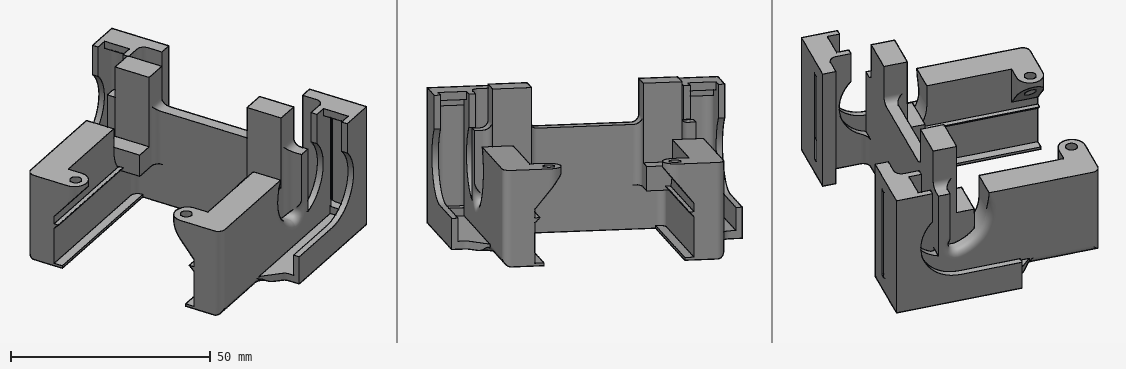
import cadquery as cq
import math


LENGTH_X = 74.2
DEPTH_Y = 57.0
BLEND = 2.0

BAY_OUT = LENGTH_X / 2
BAY_SKIN = 1.6
BAY_HEIGHT = 34.65
BAY_FLOOR = 2.1
BAY_INNER = 26.6
BAY_FRONT = 23.7
TRAY_CORNER = 34.0
TALL_FRONT = 47.4
SLOT_BACK = 50.7
SLOT_OUT = BAY_OUT - BAY_SKIN

HOOK_TIP = 20.5
HOOK_THICK = 3.5

RECESS_STEP = 2.1
RECESS_BLEND = 2.5
EXIT_LIP = 0.5
EXIT_EDGE = 28.8
EXIT_OUTER = 27.1
EXIT_INNER = 25.6
EXIT_FRONT = 54.25

ARM_OUT = 28.3
ARM_IN = 20.3
ARM_HEIGHT = 24.8
ARM_BACK = 29.45

RUNOUT_Y = 17.9
RUNOUT_R = 1.6

BORE_R = 10.5
BORE_Y = ARM_BACK + BORE_R
BORE_Z = 18.55

WEB_FRONT = 39.8
WEB_BACK = 42.9
WEB_HEIGHT = 26.85
POST_IN = 14.25
POST_OUT = 24.2
POST_HEIGHT = 38.0
POST_FRONT = 36.65
POST_BOTTOM = 11.35
FOOT_FRONT = 32.0
FOOT_TOP = 17.6

LUG_WIDTH = 7.0
LUG_TIP = 13.0
LUG_TIP_Z = 23.4
LUG_ROOT_Z = 14.55
SCREW_X = 16.1
SCREW_DIA = 3.0

LOW_RAIL_REACH = 2.4
LOW_RAIL_HEIGHT = 0.75
HIGH_RAIL_REACH = 1.3
HIGH_RAIL_TOP = 12.4

DIAGONAL = math.sqrt(0.5)
ARC_INSET = BLEND * (1 - DIAGONAL)
TRAY_TURN = 45.0
TRAY_TURN_Y = BAY_FRONT - BLEND * (1 - math.cos(math.radians(TRAY_TURN)))
TRAY_TURN_X = TRAY_CORNER - BLEND * math.sin(math.radians(TRAY_TURN))
TRAY_END_Y = TRAY_TURN_Y - (TRAY_TURN_X - ARM_OUT) * math.tan(math.radians(TRAY_TURN))


def block(x0, x1, y0, y1, z0, z1):
    """Box given by its limits along each axis."""
    return cq.Workplane("XY").box(x1 - x0, y1 - y0, z1 - z0, centered=False).translate((x0, y0, z0))


def along_x(x0, x1):
    """Sketch plane (Y, Z) at x0 together with the extrusion length to x1."""
    return cq.Workplane("YZ").workplane(offset=x0), x1 - x0


def along_y(y0):
    """Sketch plane (X, Z) at y0, extruding toward -Y."""
    return cq.Workplane("XZ", origin=(0, y0, 0))


def disc(x0, x1, y, z, radius):
    """Cylinder along X."""
    plane, length = along_x(x0, x1)
    return plane.center(y, z).circle(radius).extrude(length)


def spandrel(plane, x, y, dx, dy):
    """Closed outline between a square corner (x, y) and a BLEND arc tangent to its sides."""
    return (
        plane.moveTo(x, y)
        .lineTo(x + dx * BLEND, y)
        .threePointArc((x + dx * ARC_INSET, y + dy * ARC_INSET), (x, y + dy * BLEND))
        .close()
    )


def bay_body():
    hook_front = DEPTH_Y - HOOK_THICK
    turn_mid = math.radians(TRAY_TURN / 2)
    return (
        cq.Workplane("XY")
        .moveTo(BAY_OUT, BAY_FRONT)
        .lineTo(TRAY_CORNER, BAY_FRONT)
        .threePointArc(
            (TRAY_CORNER - BLEND * math.sin(turn_mid), BAY_FRONT - BLEND * (1 - math.cos(turn_mid))),
            (TRAY_TURN_X, TRAY_TURN_Y),
        )
        .lineTo(ARM_OUT, TRAY_END_Y)
        .lineTo(ARM_OUT, WEB_BACK)
        .lineTo(BAY_INNER - BLEND, WEB_BACK)
        .threePointArc((BAY_INNER - ARC_INSET, WEB_BACK + ARC_INSET), (BAY_INNER, WEB_BACK + BLEND))
        .lineTo(BAY_INNER, hook_front - BLEND)
        .threePointArc((BAY_INNER - ARC_INSET, hook_front - ARC_INSET), (BAY_INNER - BLEND, hook_front))
        .lineTo(HOOK_TIP, hook_front)
        .lineTo(HOOK_TIP, DEPTH_Y)
        .lineTo(BAY_OUT, DEPTH_Y)
        .close()
        .extrude(BAY_HEIGHT)
    )


def bay_opening():
    """Round opening with the clear space above the tray and in front of the tall housing."""
    x0 = HOOK_TIP
    bore = disc(x0, BAY_OUT, BORE_Y, BORE_Z, BORE_R)
    above = block(x0, BAY_OUT, 0, TALL_FRONT, BORE_Z, BAY_HEIGHT)
    ahead = block(x0, BAY_OUT, 0, BORE_Y, BORE_Z - BORE_R, BAY_HEIGHT)
    return bore.union(above).union(ahead)


def bay_recess():
    """Two-level recess behind the slot, leaving through the back beside the hook."""
    z0 = BAY_FLOOR + RECESS_STEP
    z1 = BAY_HEIGHT - 2 * RECESS_STEP
    recess_back = DEPTH_Y - EXIT_LIP
    exit_run = EXIT_EDGE - EXIT_OUTER
    exit_round = (exit_run ** 2 + EXIT_LIP ** 2) / (2 * EXIT_LIP)
    round_start = recess_back - RECESS_BLEND
    entry = block(ARM_OUT, SLOT_OUT, SLOT_BACK, round_start, BAY_FLOOR, z1 + RECESS_STEP)
    passage = (
        cq.Workplane("XY", origin=(0, 0, z0))
        .moveTo(ARM_OUT, SLOT_BACK)
        .lineTo(SLOT_OUT, SLOT_BACK)
        .lineTo(SLOT_OUT, round_start)
        .radiusArc((SLOT_OUT - RECESS_BLEND, recess_back), -RECESS_BLEND)
        .lineTo(EXIT_EDGE, recess_back)
        .radiusArc((EXIT_OUTER, DEPTH_Y), exit_round)
        .lineTo(EXIT_INNER, DEPTH_Y)
        .lineTo(EXIT_INNER, EXIT_FRONT)
        .lineTo(ARM_OUT, EXIT_FRONT)
        .close()
        .extrude(z1 - z0)
    )
    return entry.union(passage)


def make_bay():
    slot = block(ARM_OUT, SLOT_OUT, 0, SLOT_BACK, BAY_FLOOR, BAY_HEIGHT)
    return bay_body().cut(slot).cut(bay_opening()).cut(bay_recess())


def make_lug():
    radius = LUG_WIDTH / 2
    plan = (
        cq.Workplane("XY")
        .moveTo(ARM_IN, 0)
        .lineTo(LUG_TIP + radius, 0)
        .threePointArc((LUG_TIP, radius), (LUG_TIP + radius, LUG_WIDTH))
        .lineTo(ARM_IN, LUG_WIDTH)
        .close()
        .extrude(ARM_HEIGHT)
    )
    sloped = (
        along_y(LUG_WIDTH)
        .polyline([(ARM_IN, LUG_ROOT_Z), (LUG_TIP, LUG_TIP_Z), (LUG_TIP, ARM_HEIGHT), (ARM_IN, ARM_HEIGHT)])
        .close()
        .extrude(LUG_WIDTH)
    )
    screw_hole = cq.Workplane("XY").center(SCREW_X, radius).circle(SCREW_DIA / 2).extrude(ARM_HEIGHT)
    return plan.intersect(sloped).cut(screw_hole)


def make_rails():
    low = block(ARM_IN - LOW_RAIL_REACH, ARM_IN, 0, WEB_FRONT, 0, LOW_RAIL_HEIGHT)
    high = (
        along_y(WEB_FRONT)
        .polyline([
            (ARM_IN, HIGH_RAIL_TOP),
            (ARM_IN - HIGH_RAIL_REACH, HIGH_RAIL_TOP),
            (ARM_IN, HIGH_RAIL_TOP - HIGH_RAIL_REACH),
        ])
        .close()
        .extrude(WEB_FRONT)
    )
    return low.union(high)


def make_arm():
    body = block(ARM_IN, ARM_OUT, 0, WEB_BACK, 0, ARM_HEIGHT)
    front_edge = spandrel(cq.Workplane("XY"), ARM_OUT, 0, -1, 1).extrude(ARM_HEIGHT)
    bottom_edge = spandrel(along_y(RUNOUT_Y), ARM_OUT, 0, -1, 1).extrude(RUNOUT_Y)
    return body.cut(front_edge).cut(bottom_edge).union(make_lug()).union(make_rails())


def bottom_runout():
    """Cutter that turns the bottom edge rounding outward, into the slanted end of the tray."""
    return (
        cq.Workplane("XZ", origin=(ARM_OUT + RUNOUT_R, RUNOUT_Y, 0))
        .lineTo(RUNOUT_R + BLEND, 0)
        .threePointArc((RUNOUT_R + ARC_INSET, ARC_INSET), (RUNOUT_R, BLEND))
        .lineTo(0, BLEND)
        .close()
        .revolve(360, (0, 0, 0), (0, 1, 0))
    )


def flared_disc(y, z, radius):
    """Cutter along X across the arm, flaring by a BLEND round at the outer face."""
    neck = ARM_OUT - BLEND
    return (
        cq.Workplane("XY", origin=(0, y, z))
        .moveTo(ARM_IN, 0)
        .lineTo(ARM_IN, radius)
        .lineTo(neck, radius)
        .threePointArc((neck + BLEND * DIAGONAL, radius + ARC_INSET), (ARM_OUT, radius + BLEND))
        .lineTo(ARM_OUT, 0)
        .close()
        .revolve(360, (0, 0, 0), (1, 0, 0))
    )


def trough():
    """Open channel between web and arm: the bore, blended into the front of the web."""
    corner_y = WEB_FRONT - BLEND
    corner_drop = math.sqrt((BORE_R - BLEND) ** 2 - (BORE_Y - corner_y) ** 2)
    corner_z = BORE_Z - corner_drop
    lean = (BORE_Y - corner_y) / corner_drop
    web_z = BORE_Z - (BORE_Y - WEB_FRONT) / lean
    plane, length = along_x(ARM_IN, ARM_OUT)
    ahead_of_corner = (
        plane.polyline([
            (BORE_Y - BORE_Z * lean, 0),
            (WEB_FRONT, web_z),
            (WEB_FRONT, POST_HEIGHT),
            (0, POST_HEIGHT),
            (0, 0),
        ])
        .close()
        .extrude(length)
    )
    bore = flared_disc(BORE_Y, BORE_Z, BORE_R).intersect(ahead_of_corner)
    corner = flared_disc(corner_y, corner_z, BLEND)
    along_web = block(ARM_IN, ARM_OUT, corner_y, WEB_FRONT, corner_z, POST_HEIGHT)
    above = block(ARM_IN, ARM_OUT, ARM_BACK, WEB_FRONT, BORE_Z, POST_HEIGHT)
    return bore.union(corner).union(along_web).union(above)


def make_web():
    web = block(0, ARM_OUT, WEB_FRONT, WEB_BACK, 0, WEB_HEIGHT)
    arm_blend = spandrel(cq.Workplane("XY"), ARM_IN, WEB_FRONT, -1, -1).extrude(POST_BOTTOM)
    return web.union(arm_blend)


def post_flange(edge, side):
    """Blend of one post side into the web; front and top rounds meet in a mitre."""
    z0 = POST_BOTTOM if side < 0 else BORE_Z - BORE_R
    limits = sorted((edge, edge + side * BLEND))
    plan = spandrel(cq.Workplane("XY", origin=(0, 0, z0)), edge, WEB_FRONT, side, -1)
    plan = plan.extrude(WEB_HEIGHT + BLEND - z0)
    plan = plan.union(block(*limits, WEB_FRONT, WEB_BACK, z0, WEB_HEIGHT + BLEND))
    profile = spandrel(along_y(WEB_BACK), edge, WEB_HEIGHT, side, 1).extrude(WEB_BACK - POST_FRONT)
    profile = profile.union(block(*limits, POST_FRONT, WEB_BACK, z0, WEB_HEIGHT))
    return plan.intersect(profile)


def make_post():
    column = block(POST_IN, POST_OUT, POST_FRONT, WEB_BACK, POST_BOTTOM, POST_HEIGHT)
    foot = block(POST_IN, POST_OUT, FOOT_FRONT, POST_FRONT, POST_BOTTOM, FOOT_TOP)
    root = block(ARM_IN, POST_OUT, FOOT_FRONT, WEB_BACK, BORE_Z - BORE_R, POST_BOTTOM)
    post = column.union(foot).union(root)
    return post.union(post_flange(POST_IN, -1)).union(post_flange(POST_OUT, 1))


half = make_arm().union(make_web()).cut(trough())
half = half.union(make_post()).union(make_bay()).cut(bottom_runout())
result = half.union(half.mirror("YZ"))